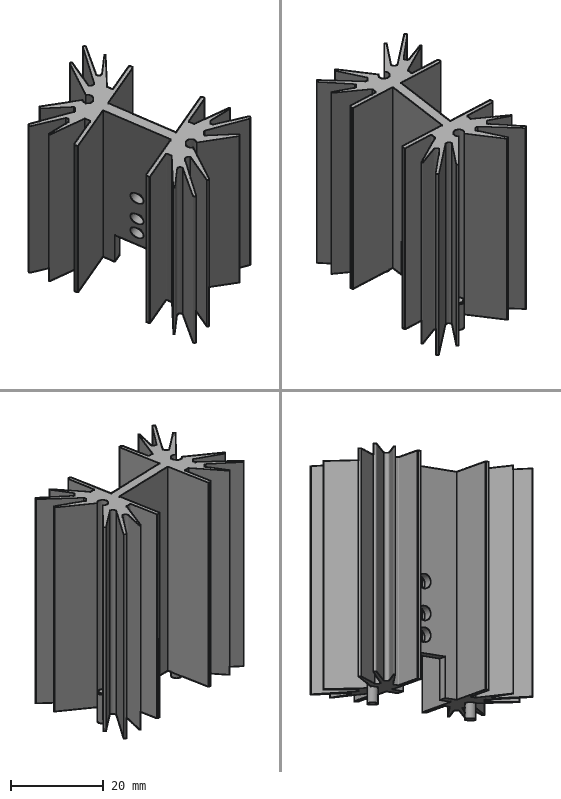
import cadquery as cq
import math

total_height = 54.3
sink_height = 50.75

web_half_thickness = 1.15
wall_inner_x = 8.35
wall_outer_x = 9.35
wall_half_depth = 12.45
wall_tip_chamfer = 0.15
wall_root_fillet = 0.15

pin_x = 12.7
pin_diameter = 2.4
pin_exposed_length = total_height - sink_height
pin_insertion_depth = 3.9
pin_chamfer = 0.25
pin_positions = (-pin_x, pin_x)

hole_diameter = 3.25
hole_heights = (13.35, 18.2, 25.3)
notch_width = 10.9
notch_height = 9.25

shoulder = (10.7, 5.0)
steep_fin_tip = ((15.15, 12.5), (15.5, 12.4))
upper_root = ((13.45, 7.7), (14.4, 6.85))
middle_fin_tip = ((20.0, 12.5), (20.6, 12.1))
lower_root = ((13.65, 4.5), (14.4, 3.35))
low_fin_tip = ((20.5, 7.2), (20.85, 6.75))
valley = (pin_x, 0)

thin_tip_bulge = 0.15
middle_tip_bulge = 0.25
upper_root_bulge = 0.45
lower_root_bulge = 0.3


def add_rounded_end(sketch, corners, bulge):
    """Draw a line to the first corner, then an arc to the second.

    A positive bulge raises the arc to the left of its direction of travel.
    """
    (start_x, start_y), (end_x, end_y) = corners
    dx = end_x - start_x
    dy = end_y - start_y
    chord = math.hypot(dx, dy)
    crest = (
        (start_x + end_x) / 2 - bulge * dy / chord,
        (start_y + end_y) / 2 + bulge * dx / chord,
    )
    return sketch.lineTo(start_x, start_y).threePointArc(crest, (end_x, end_y))


def make_quarter():
    """One quadrant of the finned extrusion."""
    sketch = (
        cq.Workplane("XY")
        .lineTo(0, web_half_thickness)
        .lineTo(wall_inner_x, web_half_thickness)
        .lineTo(wall_inner_x, wall_half_depth - wall_tip_chamfer)
        .lineTo(wall_inner_x + wall_tip_chamfer, wall_half_depth)
        .lineTo(wall_outer_x - wall_tip_chamfer, wall_half_depth)
        .lineTo(wall_outer_x, wall_half_depth - wall_tip_chamfer)
        .lineTo(wall_outer_x, shoulder[1] + wall_root_fillet)
        .tangentArcPoint((wall_root_fillet, -wall_root_fillet))
        .lineTo(*shoulder)
    )
    sketch = add_rounded_end(sketch, steep_fin_tip, thin_tip_bulge)
    sketch = add_rounded_end(sketch, upper_root, -upper_root_bulge)
    sketch = add_rounded_end(sketch, middle_fin_tip, middle_tip_bulge)
    sketch = add_rounded_end(sketch, lower_root, -lower_root_bulge)
    sketch = add_rounded_end(sketch, low_fin_tip, thin_tip_bulge)
    return sketch.lineTo(*valley).close().extrude(sink_height)


def make_pin_bores():
    return (
        cq.Workplane("XY")
        .pushPoints([(x, 0) for x in pin_positions])
        .circle(pin_diameter / 2)
        .extrude(sink_height)
    )


def make_web_holes():
    return (
        cq.Workplane("XZ")
        .pushPoints([(0, z) for z in hole_heights])
        .circle(hole_diameter / 2)
        .extrude(web_half_thickness, both=True)
    )


def make_web_notch():
    return cq.Workplane("XY").box(
        notch_width, 2 * web_half_thickness, notch_height, centered=(True, True, False)
    )


def make_heat_sink():
    quarter = make_quarter()
    half = quarter.union(quarter.mirror("XZ"))
    body = half.union(half.mirror("YZ")).clean()
    return body.cut(make_pin_bores()).cut(make_web_holes()).cut(make_web_notch()).solids()


def make_pin(x):
    """Round pin with its buried top edge chamfered."""
    return (
        cq.Workplane("XY", origin=(x, 0, -pin_exposed_length))
        .circle(pin_diameter / 2)
        .extrude(pin_exposed_length + pin_insertion_depth)
        .faces(">Z")
        .chamfer(pin_chamfer)
        .solids()
    )


heat_sink = make_heat_sink()
pins = [make_pin(x) for x in pin_positions]

result = cq.Compound.makeCompound([heat_sink.val(), *[pin.val() for pin in pins]])